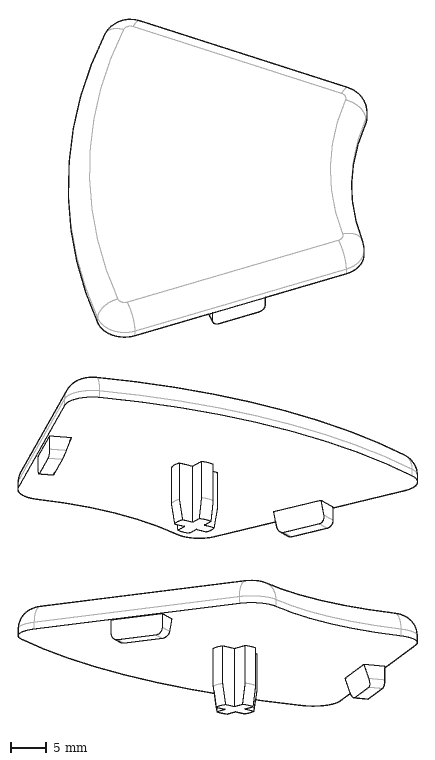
import math

import cadquery as cq

OUTER_RADIUS = 80.0
INNER_RADIUS = 40.0
START_ANGLE = 180.0
SECTOR_ANGLE = 45.0
PLATE_THICKNESS = 4.0
CORNER_RADIUS = 4.0
TOP_EDGE_FILLET = 3.0

MID_RADIUS = (OUTER_RADIUS + INNER_RADIUS) / 2
BISECTOR_ANGLE = START_ANGLE + SECTOR_ANGLE / 2
END_ANGLE = START_ANGLE + SECTOR_ANGLE

POST_RADIUS = 3.4
POST_ARM_WIDTH = 2.0
POST_LENGTH = 8.5
POST_TAPER_LENGTH = 3.0
POST_TAPER_ANGLE = 10.0
POST_TIP_RADIUS = POST_RADIUS - POST_TAPER_LENGTH * math.tan(math.radians(POST_TAPER_ANGLE))

TAB_LENGTH = 8.0
TAB_DEPTH = 3.0
TAB_EDGE_GAP = 0.3
TAB_ROOT_THICKNESS = 3.15
TAB_SLOPE_ANGLE = 20.0
TAB_TIP_THICKNESS = TAB_ROOT_THICKNESS - TAB_DEPTH * math.tan(math.radians(TAB_SLOPE_ANGLE))
TAB_CORNER_RADIUS = 1.0


def polar(radius, angle):
    """Point at a radius and an angle in degrees about the sector centre."""
    return (radius * math.cos(math.radians(angle)), radius * math.sin(math.radians(angle)))


def make_plate():
    """Ring sector with rounded corners and a rounded upper rim."""
    plate = (
        cq.Workplane("XY")
        .moveTo(*polar(OUTER_RADIUS, START_ANGLE))
        .threePointArc(polar(OUTER_RADIUS, BISECTOR_ANGLE), polar(OUTER_RADIUS, END_ANGLE))
        .lineTo(*polar(INNER_RADIUS, END_ANGLE))
        .threePointArc(polar(INNER_RADIUS, BISECTOR_ANGLE), polar(INNER_RADIUS, START_ANGLE))
        .close()
        .extrude(PLATE_THICKNESS)
    )
    plate = plate.edges("|Z").fillet(CORNER_RADIUS)
    return plate.faces(">Z").edges().fillet(TOP_EDGE_FILLET)


def make_post():
    """Cross of two bars with round, tapered ends, turned to line up with the sector's bisector."""
    envelope = (
        cq.Workplane("XZ")
        .polyline([
            (0, 0),
            (POST_RADIUS, 0),
            (POST_RADIUS, POST_TAPER_LENGTH - POST_LENGTH),
            (POST_TIP_RADIUS, -POST_LENGTH),
            (0, -POST_LENGTH),
        ])
        .close()
        .revolve(360, (0, 0, 0), (0, 1, 0))
    )
    span = 2 * POST_RADIUS
    cross = (
        cq.Workplane("XY")
        .rect(span, POST_ARM_WIDTH)
        .extrude(-POST_LENGTH)
        .union(cq.Workplane("XY").rect(POST_ARM_WIDTH, span).extrude(-POST_LENGTH))
    )
    post = cross.intersect(envelope).rotate((0, 0, 0), (0, 0, 1), BISECTOR_ANGLE)
    return post.translate((*polar(MID_RADIUS, BISECTOR_ANGLE), 0))


def make_start_tab():
    """Tab under the START_ANGLE edge: upright outer face, sloping inner face, rounded tip corners."""
    outer_y = -TAB_EDGE_GAP
    tab = (
        cq.Workplane("YZ")
        .polyline([
            (outer_y, 0),
            (outer_y, -TAB_DEPTH),
            (outer_y - TAB_TIP_THICKNESS, -TAB_DEPTH),
            (outer_y - TAB_ROOT_THICKNESS, 0),
        ])
        .close()
        .extrude(TAB_LENGTH / 2, both=True)
    )
    tab = tab.faces("<Z").edges("|Y").fillet(TAB_CORNER_RADIUS)
    return tab.translate((*polar(MID_RADIUS, START_ANGLE), 0))


def make_end_tab():
    """Mirror image of the start tab about the sector's bisector."""
    mirrored = make_start_tab().mirror("XZ")
    return mirrored.rotate((0, 0, 0), (0, 0, 1), SECTOR_ANGLE)


result = (
    make_plate()
    .union(make_post())
    .union(make_start_tab())
    .union(make_end_tab())
)